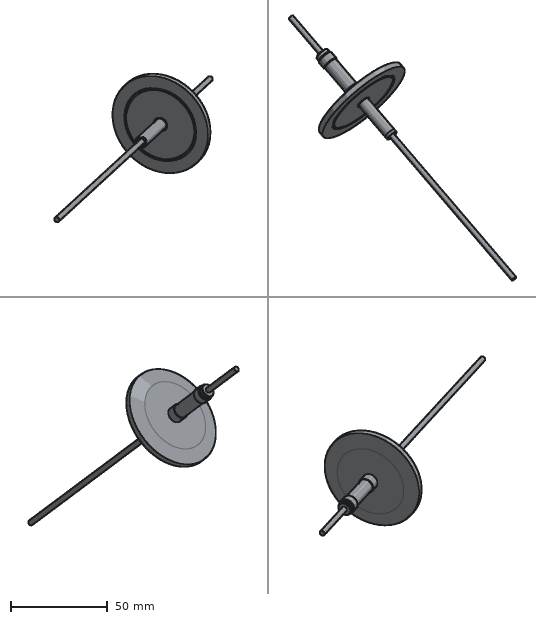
import cadquery as cq

overall_length = 184.2
front_rod_length = 100.7
front_tube_length = 23.4
rim_thickness = 3.1
taper_thickness = 1.8
weld_collar_length = 5.0
back_tube_length = 17.3
crimp_ring_length = 4.8
end_neck_length = 0.4
end_cap_length = 2.2

rod_diameter = 3.0
front_tube_diameter = 6.3
front_bore_diameter = 5.2
back_tube_diameter = 7.5
collar_diameter = 8.5
neck_diameter = 7.0
flange_diameter = 54.9
taper_small_diameter = 38.7

front_bore_depth = 1.8
groove_outer_diameter = 41.2
groove_inner_diameter = 39.0
groove_depth = 1.0
weld_groove_diameter = back_tube_diameter
weld_groove_depth = 0.5
sleeve_edge_chamfer = 0.4

front_tip = -overall_length / 2
front_tube_start = front_tip + front_rod_length
flange_front = front_tube_start + front_tube_length
taper_start = flange_front + rim_thickness
flange_back = taper_start + taper_thickness


def cylinder(start, length, diameter):
    """Solid cylinder on the Y axis, growing towards +Y from start."""
    return cq.Workplane("XZ", origin=(0, start, 0)).circle(diameter / 2).extrude(-length)


def ring(start, length, outer_diameter, inner_diameter):
    """Tubular ring on the Y axis."""
    return cylinder(start, length, outer_diameter).cut(cylinder(start, length, inner_diameter))


def flange():
    """Disc with a tapered back, a sealing groove and a weld groove around the tube."""
    rim = cylinder(flange_front, rim_thickness, flange_diameter)
    taper = (
        cq.Workplane("XZ", origin=(0, taper_start, 0))
        .circle(flange_diameter / 2)
        .workplane(offset=-taper_thickness)
        .circle(taper_small_diameter / 2)
        .loft()
    )
    face_groove = ring(flange_front, groove_depth, groove_outer_diameter, groove_inner_diameter)
    weld_groove = ring(flange_front, weld_groove_depth, weld_groove_diameter, front_tube_diameter)
    return rim.union(taper).cut(face_groove).cut(weld_groove)


def front_tube():
    """Tube in front of the flange, with a shallow bore in its open end."""
    tube = cylinder(front_tube_start, front_tube_length, front_tube_diameter)
    return tube.cut(cylinder(front_tube_start, front_bore_depth, front_bore_diameter))


def back_stack():
    """Stepped sleeve behind the flange, built segment by segment."""
    segments = [
        (weld_collar_length, collar_diameter, None),
        (back_tube_length, back_tube_diameter, None),
        (crimp_ring_length, collar_diameter, "<Y or >Y"),
        (end_neck_length, neck_diameter, None),
        (end_cap_length, back_tube_diameter, ">Y"),
    ]
    start = flange_back
    stack = cq.Workplane("XZ")
    for length, diameter, chamfered_ends in segments:
        segment = cylinder(start, length, diameter)
        if chamfered_ends:
            segment = segment.faces(chamfered_ends).chamfer(sleeve_edge_chamfer)
        stack = stack.union(segment)
        start += length
    return stack


rod = cylinder(front_tip, overall_length, rod_diameter)
result = flange().union(front_tube()).union(back_stack()).union(rod)